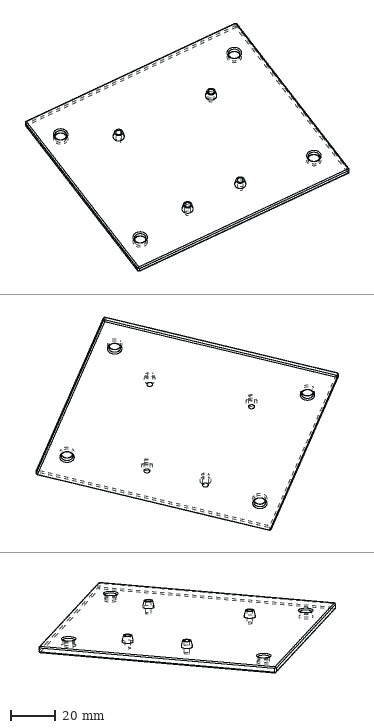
import cadquery as cq

plate_width = 100.0
plate_length = 112.0
plate_thickness = 3.0
chamfer_size = 0.6

mount_hole_diameter = 5.4
mount_hole_spacing_x = 70.0
mount_hole_spacing_y = 92.0

standoff_height = 3.0
standoff_diameter = 5.0
standoff_top_diameter = 3.8
standoff_collar_height = 0.5
standoff_bore_diameter = 2.6
standoff_positions = [(-19.0, 24.1), (31.9, 8.8), (31.9, -19.0), (-20.3, -24.1)]

total_height = plate_thickness + standoff_height


def make_plate():
    plate = cq.Workplane("XY").box(
        plate_width, plate_length, plate_thickness, centered=(True, True, False)
    )
    return plate.edges().chamfer(chamfer_size)


def make_mount_hole_cutter(x, y):
    radius = mount_hole_diameter / 2
    mouth_radius = radius + chamfer_size
    profile = (
        cq.Workplane("XZ")
        .moveTo(0, 0)
        .lineTo(mouth_radius, 0)
        .lineTo(radius, chamfer_size)
        .lineTo(radius, plate_thickness - chamfer_size)
        .lineTo(mouth_radius, plate_thickness)
        .lineTo(0, plate_thickness)
        .close()
    )
    return profile.revolve(360, (0, 0), (0, 1)).translate((x, y, 0))


def make_standoff(x, y):
    radius = standoff_diameter / 2
    profile = (
        cq.Workplane("XZ")
        .moveTo(0, 0)
        .lineTo(radius, 0)
        .lineTo(radius, plate_thickness + standoff_collar_height)
        .lineTo(standoff_top_diameter / 2, total_height)
        .lineTo(0, total_height)
        .close()
    )
    return profile.revolve(360, (0, 0), (0, 1)).translate((x, y, 0))


result = make_plate()

for x in (-mount_hole_spacing_x / 2, mount_hole_spacing_x / 2):
    for y in (-mount_hole_spacing_y / 2, mount_hole_spacing_y / 2):
        result = result.cut(make_mount_hole_cutter(x, y))

for x, y in standoff_positions:
    result = result.union(make_standoff(x, y))

standoff_bores = (
    cq.Workplane("XY")
    .pushPoints(standoff_positions)
    .circle(standoff_bore_diameter / 2)
    .extrude(total_height)
)
result = result.cut(standoff_bores)